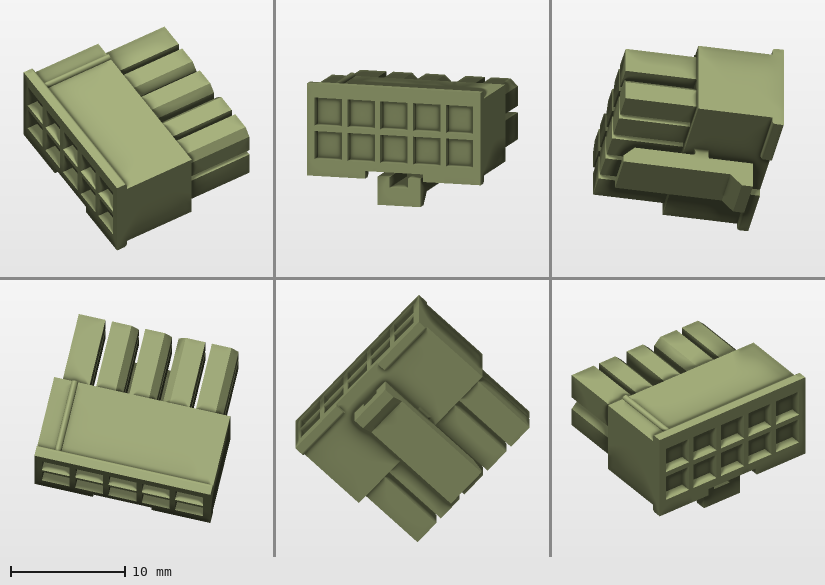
import cadquery as cq


width = 15.85
flange_height = 8.24
flange_depth = 1.0
flange_rim = 0.68
flange_round = 0.25
notch_width = 5.28
body_depth = 7.64
body_bottom = flange_rim
body_top = flange_height - flange_rim
body_middle = flange_height / 2

columns = 5
rows = 2
pitch = 3.0
cavity_size = 2.5
cavity_depth = 1.0
cavity_rise = 0.13
tower_size = 2.41
tower_length = 6.35
tower_chamfer = 0.65
keyed_towers = {(0, 0): -1, (1, 1): 1, (2, 1): 1, (3, 1): -1, (4, 1): 1}

rib_x = -6.05
rib_radius = 0.3

latch_width = 3.91
latch_front = 1.55
latch_back = 13.11
arm_front_top = -0.06
arm_back_top = 0.13
hook_bottom = -2.58
hook_drop = 1.05
arm_bottom = hook_bottom + hook_drop
hook_length = 1.0
hook_ramp = 1.0
tail_chamfer = 0.98
neck_front = 5.53
neck_back = 6.7
neck_fillet = 0.24
neck_foot_depth = 0.06
neck_foot_height = 0.15
slot_width = 1.7
slot_floor = -1.0


def block(x_size, x_middle, y_start, y_end, z_start, z_end):
    """Box centred on x_middle and spanning the given Y and Z ranges."""
    box = cq.Workplane("XY").box(
        x_size, y_end - y_start, z_end - z_start, centered=(True, False, False)
    )
    return box.translate((x_middle, y_start, z_start))


def grid():
    """Yield column, row, X and Z offset of every grid position; row 0 is the lower one."""
    for column in range(columns):
        for row in range(rows):
            x = (column - (columns - 1) / 2) * pitch
            z = (row - (rows - 1) / 2) * pitch
            yield column, row, x, z


def make_housing():
    """Flange with rounded back edges and a bottom notch, joined to the plain body block."""
    flange = block(width, 0, 0, flange_depth, 0, flange_height)
    flange = flange.faces(">Y").edges("|X").fillet(flange_round)
    flange = flange.cut(block(notch_width, 0, 0, flange_depth, 0, body_bottom))
    return flange.union(block(width, 0, 0, body_depth, body_bottom, body_top))


def make_rib():
    """Full rod whose lower half is buried in the body; it starts inside the flange."""
    rib_start = flange_depth / 2
    rod = cq.Workplane("XZ").circle(rib_radius).extrude(rib_start - body_depth)
    return rod.translate((rib_x, rib_start, body_top))


def make_tower(column, row, x, z):
    """Terminal tower behind the body, with its key chamfer where it has one."""
    bottom = body_middle + z - tower_size / 2
    tower = block(tower_size, x, body_depth, body_depth + tower_length, bottom, bottom + tower_size)
    side = keyed_towers.get((column, row))
    if side is None:
        return tower
    keyed_edge = tower.faces(">X" if side > 0 else "<X").edges(">Z")
    return keyed_edge.chamfer(tower_chamfer)


def make_cavity(x, z):
    """Square blind cavity opening on the front face."""
    middle = body_middle + cavity_rise + z
    return block(cavity_size, x, 0, cavity_depth, middle - cavity_size / 2, middle + cavity_size / 2)


def add_neck(housing):
    """Hang the neck below the body, with fillets at its back and sides."""
    neck = block(latch_width, 0, neck_front, neck_back, arm_bottom, body_bottom)
    half = latch_width / 2
    margin = 0.02
    root = cq.selectors.BoxSelector(
        (-half - margin, neck_front + margin, body_bottom - margin),
        (half + margin, neck_back + margin, body_bottom + margin),
    )
    return housing.union(neck).edges(root).fillet(neck_fillet)


def make_latch_arm():
    """Lever profile in the YZ plane with a hook in front and a bevelled tail."""
    profile = (
        cq.Workplane("YZ")
        .moveTo(latch_front, arm_front_top)
        .lineTo(latch_front, hook_bottom)
        .lineTo(latch_front + hook_length, hook_bottom)
        .lineTo(latch_front + hook_length + hook_ramp, arm_bottom)
        .lineTo(latch_back, arm_bottom)
        .lineTo(latch_back, arm_back_top - tail_chamfer)
        .lineTo(latch_back - tail_chamfer, arm_back_top)
        .lineTo(neck_back + neck_fillet, arm_back_top)
        .radiusArc((neck_back, arm_back_top + neck_fillet), neck_fillet)
        .lineTo(neck_front, arm_back_top + neck_fillet)
        .lineTo(neck_front, arm_front_top + neck_foot_height)
        .lineTo(neck_front - neck_foot_depth, arm_front_top)
        .close()
    )
    return profile.extrude(latch_width / 2, both=True)


result = add_neck(make_housing()).union(make_latch_arm()).union(make_rib())
for column, row, x, z in grid():
    result = result.union(make_tower(column, row, x, z))
    result = result.cut(make_cavity(x, z))

result = result.cut(block(slot_width, 0, latch_front, neck_back + neck_fillet, slot_floor, body_bottom))